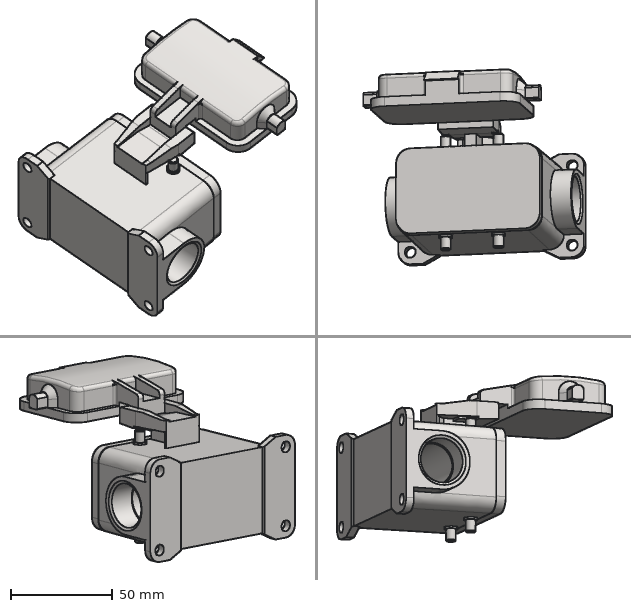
import cadquery as cq
import math


total_width = 94.0
flange_half_height = 26.0
flange_thickness = 4.1
flange_corner_radius = 6.2
flange_shoulder_x = 34.3
flange_inner_x = 26.4
flange_inner_z = 21.9
flange_edge_bevel = 0.7
mount_hole_x = 40.9
mount_hole_z = 20.0
mount_hole_radius = 2.7

housing_width = 73.8
housing_height = 43.8
housing_front_y = 1.0
housing_end_y = 57.0
housing_corner_radius = 7.5
housing_draft = 0.5
rim_band_start_y = 52.0
rim_band_width = 72.6
rim_band_height = 42.8

entry_y = 19.2
entry_outer_radius = 14.7
entry_bore_radius = 11.1
entry_bevel_width = 1.4
entry_bevel_depth = 0.8
entry_bore_depth = 13.6
through_bore_radius = 10.5

pin_x = 13.4
pin_y = 47.3
pin_radius = 2.5
pin_tip_z = 28.6
pin_tip_chamfer = 0.6
pin_collar_radius = 3.3
pin_collar_tip_z = 22.5

bracket_rear_y = 62.1
bracket_taper_y = 50.3
bracket_front_y = 30.4
bracket_half_width = 14.0
bracket_front_half_width = 10.8
bracket_top_z = 37.5
bracket_slope_y = 46.1
bracket_nose_y = 33.6
bracket_nose_z = 35.5
bracket_rear_bottom_z = 29.2
bracket_step_y = 51.4
bracket_step_z = 28.5
bracket_bottom_z = 29.7
bracket_edge_chamfer = 0.7
skirt_thickness = 1.3
channel_front_z = 34.8
channel_bend_y = 45.2
channel_bend_z = 34.4
channel_rear_y = 52.8
channel_rear_z = 32.5
lug_half_width = 3.0
lug_front_half_width = 8.3
lug_front_y = 37.0
lug_rear_y = 51.0
lug_pad_half_width = 10.8
lug_pad_front_y = 42.1

lid_y = 92.2
lid_bottom_z = 31.1
lid_rim_width = 75.3
lid_rim_length = 46.7
lid_rim_radius = 8.4
lid_rim_top_z = 35.9
lid_width = 67.7
lid_length = 40.1
lid_corner_radius = 5.1
roof_crown_z = 49.5
roof_edge_z = 47.6
roof_half_length = 21.3
roof_edge_fillet = 2.1

arm_half_width = 8.5
arm_front_y = 54.2
arm_bottom_z = 37.9
arm_slope_end_z = 44.0
arm_nose_fillet = 2.4
arm_foot_y = 61.9
arm_recess_half_width = 5.2
arm_recess_floor_z = 40.5
root_fillet = 1.4
hook_tip_y = 118.3
hook_tip_z = 43.0
hook_shoulder_y = 114.0
hook_root_y = lid_y + lid_rim_length / 2

peg_end_x = 44.4
peg_half_width = 3.1
peg_shoulder_z = 41.4
peg_top_z = 43.1
peg_bottom_chamfer = 0.5
peg_boss_axis_z = 40.3
peg_boss_radius = 6.3

joint_overlap = 0.7

housing_half_height = housing_height / 2


def side_profile(points, half_width):
    """Extrude a closed (Y, Z) outline symmetrically about X = 0."""
    return cq.Workplane("YZ").polyline(points).close().extrude(half_width, both=True)


def rounded_block(plane, width, height, depth, radius, taper=0):
    """Extrude a rectangle with rounded corners from the given workplane."""
    sketch = cq.Sketch().rect(width, height).vertices().fillet(radius)
    return plane.placeSketch(sketch).extrude(depth, taper=taper)


def make_flange(side):
    outer_x = total_width / 2
    outline = [
        (side * flange_inner_x, flange_inner_z),
        (side * flange_shoulder_x, flange_half_height),
        (side * outer_x, flange_half_height),
        (side * outer_x, -flange_half_height),
        (side * flange_shoulder_x, -flange_half_height),
        (side * flange_inner_x, -flange_inner_z),
    ]
    flange = cq.Workplane("XZ").polyline(outline).close().extrude(-flange_thickness)
    outer_edges = flange.edges("|Y").edges(">X" if side > 0 else "<X")
    flange = outer_edges.fillet(flange_corner_radius)
    inner_edge = flange.faces("<Y").edges("<X" if side > 0 else ">X")
    flange = inner_edge.chamfer(flange_edge_bevel)
    holes = (
        cq.Workplane("XZ")
        .pushPoints([(side * mount_hole_x, z) for z in (-mount_hole_z, mount_hole_z)])
        .circle(mount_hole_radius)
        .extrude(-flange_thickness)
    )
    return flange.cut(holes)


def make_housing():
    base = cq.Workplane(cq.Plane(origin=(0, housing_front_y, 0), xDir=(1, 0, 0), normal=(0, 1, 0)))
    body = rounded_block(
        base, housing_width, housing_height, rim_band_start_y - housing_front_y,
        housing_corner_radius, housing_draft,
    )
    band_start = base.workplane(offset=rim_band_start_y - housing_front_y)
    band = rounded_block(
        band_start, rim_band_width, rim_band_height, housing_end_y - rim_band_start_y,
        housing_corner_radius,
    )
    return body.union(band)


def make_entry_collars():
    barrel = cq.Workplane("YZ").center(entry_y, 0).circle(entry_outer_radius)
    barrel = barrel.extrude(total_width / 2, both=True)
    web = (
        cq.Workplane("YZ")
        .center((entry_y + flange_thickness) / 2, 0)
        .rect(entry_y - flange_thickness, 2 * entry_outer_radius)
        .extrude(total_width / 2, both=True)
    )
    inner_gap = cq.Workplane("XY").box(
        2 * flange_inner_x, housing_end_y * 2, housing_height * 2
    )
    return barrel.union(web).cut(inner_gap)


def make_entry_bore():
    """Stepped bore from side to side with a bevelled mouth at each end, as a solid to cut."""
    end_x = total_width / 2
    ledge_x = end_x - entry_bore_depth
    outline = [
        (-end_x, 0),
        (-end_x, entry_bore_radius + entry_bevel_width),
        (-end_x + entry_bevel_depth, entry_bore_radius),
        (-ledge_x, entry_bore_radius),
        (-ledge_x, through_bore_radius),
        (ledge_x, through_bore_radius),
        (ledge_x, entry_bore_radius),
        (end_x - entry_bevel_depth, entry_bore_radius),
        (end_x, entry_bore_radius + entry_bevel_width),
        (end_x, 0),
    ]
    half = cq.Workplane("XY").polyline(outline).close()
    return half.revolve(360, (0, 0, 0), (1, 0, 0)).translate((0, entry_y, 0))


def make_pin(x, direction):
    base_z = housing_half_height - 2 * joint_overlap
    start = cq.Workplane("XY", origin=(x, pin_y, direction * base_z))
    pin = start.circle(pin_radius).extrude(direction * (pin_tip_z - base_z))
    pin = pin.faces(">Z" if direction > 0 else "<Z").chamfer(pin_tip_chamfer)
    collar = start.circle(pin_collar_radius).extrude(direction * (pin_collar_tip_z - base_z))
    return pin.union(collar)


def make_bracket():
    plan = [
        (bracket_half_width, bracket_rear_y),
        (bracket_half_width, bracket_taper_y),
        (bracket_front_half_width, bracket_front_y),
        (-bracket_front_half_width, bracket_front_y),
        (-bracket_half_width, bracket_taper_y),
        (-bracket_half_width, bracket_rear_y),
    ]
    side = [
        (bracket_rear_y, bracket_rear_bottom_z),
        (bracket_rear_y, bracket_top_z - bracket_edge_chamfer),
        (bracket_rear_y - bracket_edge_chamfer, bracket_top_z),
        (bracket_slope_y, bracket_top_z),
        (bracket_nose_y, bracket_nose_z),
        (bracket_front_y, bracket_nose_z),
        (bracket_front_y, bracket_bottom_z),
        (bracket_step_y, bracket_bottom_z),
        (bracket_step_y, bracket_step_z),
    ]
    column = cq.Workplane("XY").polyline(plan).close().extrude(bracket_top_z)
    bracket = column.intersect(side_profile(side, bracket_half_width))

    channel = [
        (bracket_front_y, channel_front_z),
        (channel_bend_y, channel_bend_z),
        (channel_rear_y, channel_rear_z),
        (bracket_rear_y, channel_rear_z),
        (bracket_rear_y, bracket_top_z),
        (bracket_front_y, bracket_top_z),
    ]
    bracket = bracket.cut(side_profile(channel, arm_half_width))

    base_z = housing_half_height - joint_overlap
    skirt_rear_y = bracket_front_y + skirt_thickness
    support_height = bracket_bottom_z + joint_overlap - base_z
    skirt = (
        cq.Workplane("XY", origin=(0, (bracket_front_y + skirt_rear_y) / 2, base_z))
        .rect(2 * bracket_front_half_width, skirt_thickness)
        .extrude(support_height)
    )
    lug_plan = [
        (lug_front_half_width, skirt_rear_y),
        (lug_half_width, lug_front_y),
        (lug_half_width, lug_rear_y),
        (-lug_half_width, lug_rear_y),
        (-lug_half_width, lug_front_y),
        (-lug_front_half_width, skirt_rear_y),
    ]
    lug = cq.Workplane("XY", origin=(0, 0, base_z)).polyline(lug_plan).close().extrude(support_height)
    pad = (
        cq.Workplane("XY", origin=(0, (lug_pad_front_y + bracket_step_y) / 2, bracket_step_z))
        .rect(2 * lug_pad_half_width, bracket_step_y - lug_pad_front_y)
        .extrude(bracket_bottom_z - bracket_step_z)
    )
    return bracket.union(skirt).union(lug).union(pad)


def make_roof_profile(half_width):
    """Solid below the arched roof, symmetric about X = 0."""
    rear_y = lid_y + roof_half_length
    front_y = lid_y - roof_half_length
    return (
        cq.Workplane("YZ")
        .moveTo(front_y, lid_bottom_z)
        .lineTo(front_y, roof_edge_z)
        .threePointArc((lid_y, roof_crown_z), (rear_y, roof_edge_z))
        .lineTo(rear_y, lid_bottom_z)
        .close()
        .extrude(half_width, both=True)
    )


def make_lid_shell():
    rim_plane = cq.Workplane("XY", origin=(0, lid_y, lid_bottom_z))
    rim = rounded_block(
        rim_plane, lid_rim_width, lid_rim_length, lid_rim_top_z - lid_bottom_z, lid_rim_radius
    )
    shell = rounded_block(
        rim_plane, lid_width, lid_length, roof_crown_z - lid_bottom_z, lid_corner_radius
    )
    shell = shell.intersect(make_roof_profile(lid_width))
    shell = shell.faces(">Z").edges().fillet(roof_edge_fillet)
    return rim.union(shell)


def make_arm():
    """Forked arm reaching from the lid into the bracket channel."""
    root_y = lid_y - roof_half_length
    rim_front_y = lid_y - lid_rim_length / 2
    outline = [
        (lid_y, lid_rim_top_z),
        (lid_y, roof_edge_z),
        (root_y, roof_edge_z),
        (arm_front_y, arm_slope_end_z),
        (arm_front_y, channel_rear_z),
        (arm_foot_y, channel_rear_z),
        (arm_foot_y, arm_bottom_z),
        (rim_front_y, arm_bottom_z),
        (rim_front_y, lid_rim_top_z),
    ]
    arm = side_profile(outline, arm_half_width)
    return arm.edges("|X").edges("<Y").edges(">Z").fillet(arm_nose_fillet)


def make_hook():
    outline = [
        (lid_y, lid_rim_top_z),
        (lid_y, roof_edge_z),
        (hook_shoulder_y, roof_edge_z),
        (hook_tip_y, hook_tip_z),
        (hook_root_y, hook_tip_z),
        (hook_root_y, lid_rim_top_z),
    ]
    return side_profile(outline, arm_half_width)


def make_root_fillet(x_side, y_side):
    """Concave fillet where the arm or the hook meets the lid wall."""
    corner_y = lid_y + y_side * lid_length / 2
    far_x = arm_half_width + root_fillet
    far_y = corner_y + y_side * root_fillet
    middle = root_fillet * (1 - math.sqrt(0.5))
    return (
        cq.Workplane("XY", origin=(0, 0, lid_rim_top_z))
        .moveTo(x_side * arm_half_width, corner_y)
        .lineTo(x_side * far_x, corner_y)
        .threePointArc(
            (x_side * (arm_half_width + middle), corner_y + y_side * middle),
            (x_side * arm_half_width, far_y),
        )
        .close()
        .extrude(roof_edge_z - roof_edge_fillet / 2 - lid_rim_top_z)
    )


def make_spine():
    """Hook, crown strip and arm in one width, with the open recess between the arm's ribs."""
    spine = make_roof_profile(arm_half_width).union(make_hook()).union(make_arm())
    recess_rear_y = lid_y - lid_length / 2 + roof_edge_fillet
    recess = (
        cq.Workplane("XY", origin=(0, (arm_front_y + recess_rear_y) / 2, arm_recess_floor_z))
        .rect(2 * arm_recess_half_width, recess_rear_y - arm_front_y)
        .extrude(roof_crown_z - arm_recess_floor_z)
    )
    return spine.cut(recess)


def make_peg_boss():
    """Arched boss at each short end of the lid, tapering outward to the peg."""
    wall_x = lid_width / 2
    neck_x = lid_rim_width / 2
    outline = [
        (-neck_x, peg_half_width),
        (-wall_x, peg_boss_radius),
        (wall_x, peg_boss_radius),
        (neck_x, peg_half_width),
    ]
    arch = (
        cq.Workplane("XY")
        .polyline([(-neck_x, 0)] + outline + [(neck_x, 0)])
        .close()
        .revolve(360, (0, 0, 0), (1, 0, 0))
    )
    mirrored = [(x, -y) for x, y in reversed(outline)]
    foot = cq.Workplane("XY").polyline(outline + mirrored).close()
    foot = foot.extrude(lid_rim_top_z - peg_boss_axis_z)
    return arch.union(foot).translate((0, lid_y, peg_boss_axis_z))


def make_pegs():
    """Round-topped bar whose two ends stand out as the locking pegs."""
    bar = (
        cq.Workplane("YZ", origin=(0, lid_y, 0))
        .moveTo(-peg_half_width, lid_rim_top_z)
        .lineTo(-peg_half_width, peg_shoulder_z)
        .threePointArc((0, peg_top_z), (peg_half_width, peg_shoulder_z))
        .lineTo(peg_half_width, lid_rim_top_z)
        .close()
        .extrude(peg_end_x, both=True)
    )
    return bar.edges("|X and <Z").chamfer(peg_bottom_chamfer)


def make_lid():
    lid = make_lid_shell().union(make_spine()).union(make_peg_boss()).union(make_pegs())
    for x_side in (-1, 1):
        for y_side in (-1, 1):
            lid = lid.union(make_root_fillet(x_side, y_side))
    return lid


def make_part():
    housing = make_housing().union(make_entry_collars())
    for side in (-1, 1):
        housing = housing.union(make_flange(side))
    housing = housing.cut(make_entry_bore())
    for x in (-pin_x, pin_x):
        for direction in (-1, 1):
            housing = housing.union(make_pin(x, direction))
    return housing.union(make_bracket()).union(make_lid())


result = make_part()